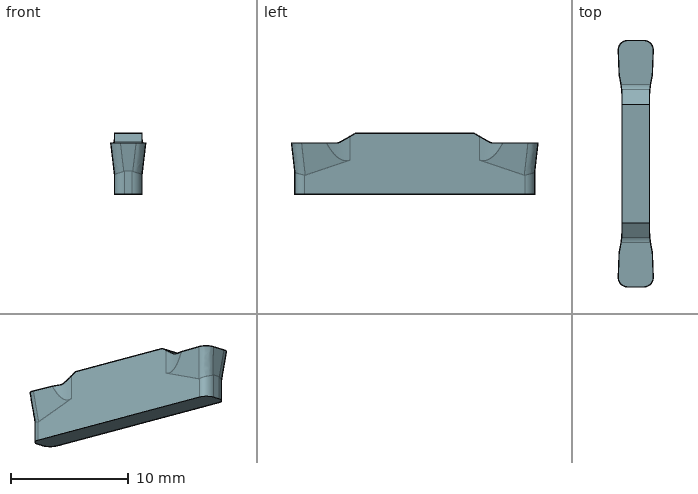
import cadquery as cq
import math

length = 21.0
height = 5.2
body_width = 2.35
corner_radius = 0.85

head_width = 3.0
seat_height = 4.37
body_setback = 0.27
clearance_angle = 6.5
back_taper_angle = 2.2

waist_distance = 5.0
waist_radius = 8.4

ramp_top_distance = 5.45
ramp_angle = 30.0
ramp_foot_radius = 0.85

half_length = length / 2
half_body = body_width / 2
clearance_slope = math.tan(math.radians(clearance_angle))
back_slope = math.tan(math.radians(back_taper_angle))


def make_body():
    """Straight bar with rounded vertical corners."""
    bar = cq.Workplane("XY").box(
        body_width, length - 2 * body_setback, height, centered=(True, True, False)
    )
    return bar.edges("|Z").fillet(corner_radius)


def head_outline(z):
    """Corners of the tapered head outline at height z."""
    lean = clearance_slope * (seat_height - z)
    front = -half_length + lean
    back = -half_length + waist_distance
    round_start = -half_length + corner_radius

    def half_width(y):
        return head_width / 2 - lean - back_slope * (y - round_start)

    return [
        (-half_width(front), front),
        (half_width(front), front),
        (half_width(back), back),
        (-half_width(back), back),
    ]


def make_head():
    """Tapered head at the -Y end, with rounded corners and a concave relief on each side."""
    head = (
        cq.Workplane("XY")
        .polyline(head_outline(0)).close()
        .workplane(offset=height)
        .polyline(head_outline(height)).close()
        .loft(ruled=True)
    )
    head = head.faces("<Y").edges("not #Z").fillet(corner_radius)
    waist_x = half_body + waist_radius
    waist_y = -half_length + waist_distance
    relief = (
        cq.Workplane("XY")
        .pushPoints([(-waist_x, waist_y), (waist_x, waist_y)])
        .circle(waist_radius).extrude(height)
    )
    return head.cut(relief)


def make_ramp_cutter():
    """Space above the seat and ramp at the -Y end, across the full width."""
    ramp = math.radians(ramp_angle)
    ramp_top = -half_length + ramp_top_distance
    ramp_foot = ramp_top - (height - seat_height) / math.tan(ramp)
    tangent = ramp_foot_radius * math.tan(ramp / 2)
    arc_start = (ramp_foot - tangent, seat_height)
    arc_end = (ramp_foot + tangent * math.cos(ramp), seat_height + tangent * math.sin(ramp))
    arc_middle = (
        arc_start[0] + ramp_foot_radius * math.sin(ramp / 2),
        seat_height + ramp_foot_radius * (1 - math.cos(ramp / 2)),
    )
    outer_end = -half_length - body_setback
    return (
        cq.Workplane("YZ")
        .moveTo(outer_end, seat_height)
        .lineTo(*arc_start)
        .threePointArc(arc_middle, arc_end)
        .lineTo(ramp_top, height)
        .lineTo(outer_end, height)
        .close()
        .extrude(head_width, both=True)
    )


head = make_head()
ramp_cutter = make_ramp_cutter()

result = make_body()
for end_angle in (0, 180):
    result = result.union(head.rotate((0, 0, 0), (0, 0, 1), end_angle))
    result = result.cut(ramp_cutter.rotate((0, 0, 0), (0, 0, 1), end_angle))